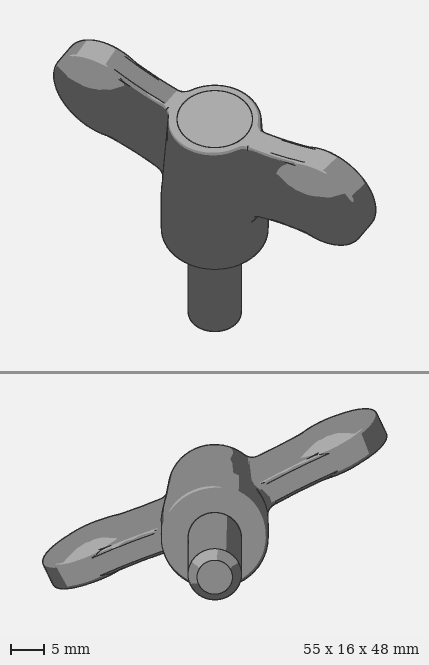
import cadquery as cq
import math

base_radius = 8.0
taper_start = 8.6
hub_top_radius = 6.95
hub_height = 25.35
edge_radius = 0.5

pad_radius = 8.0
pad_offset = 19.5
pad_height = 20.0
arm_thickness = 4.0
dome_rise = 1.5
pad_blend_radius = 2.0
root_blend_radius = 2.0
arm_top_start = 7.0
upper_tangent_angle = math.radians(19.0)
lower_arc_radius = 35.0

stud_diameter = 8.0
stud_length = 20.0
stud_chamfer_height = 1.5
stud_chamfer_width = 1.35
shank_diameter = 7.95
head_diameter = 11.25
head_thickness = 6.0
insert_clearance = 0.05

half_arm = arm_thickness / 2
pad_bottom = pad_height - pad_radius
dome_apex = half_arm + dome_rise
dome_sphere_radius = (pad_radius**2 + dome_rise**2) / (2 * dome_rise)
dome_center = dome_apex - dome_sphere_radius
taper_slope = (base_radius - hub_top_radius) / (hub_height - taper_start)

overshoot = 3.0
arm_inner_end = hub_top_radius - 2.0


def taper_radius(height):
    return base_radius - taper_slope * (height - taper_start)


def lower_edge_height(x):
    """Height of the arm's lower arc, which leaves the bottom of the pad horizontally."""
    run = pad_offset - x
    return pad_bottom - lower_arc_radius + math.sqrt(lower_arc_radius**2 - run**2)


def upper_arc_points():
    """Start, middle and end of the arm's upper arc, from the hub top to its tangent point on the pad."""
    normal_x = -math.sin(upper_tangent_angle)
    normal_z = math.cos(upper_tangent_angle)
    tangent_x = pad_offset + pad_radius * normal_x
    tangent_z = pad_height + pad_radius * normal_z

    chord_x = arm_top_start - tangent_x
    chord_z = hub_height - tangent_z
    radius = (chord_x**2 + chord_z**2) / (2 * (chord_x * normal_x + chord_z * normal_z))
    center_x = tangent_x + radius * normal_x
    center_z = tangent_z + radius * normal_z

    middle_x = (arm_top_start + tangent_x) / 2
    middle_z = center_z - math.sqrt(radius**2 - (middle_x - center_x) ** 2)
    return (arm_top_start, hub_height), (middle_x, middle_z), (tangent_x, tangent_z)


def make_rough_arm():
    """Arm on the +X side with its rounded lower edge, left too tall at the top."""
    middle_x = (pad_offset + arm_inner_end) / 2
    top = hub_height + overshoot
    arm = (
        cq.Workplane("XZ")
        .moveTo(arm_inner_end, top)
        .lineTo(pad_offset, top)
        .lineTo(pad_offset, pad_bottom)
        .threePointArc(
            (middle_x, lower_edge_height(middle_x)),
            (arm_inner_end, lower_edge_height(arm_inner_end)),
        )
        .close()
        .extrude(half_arm, both=True)
    )
    return arm.edges("%CIRCLE").fillet(edge_radius)


def make_rough_body():
    """Tapered body and both arms, blended together where they meet."""
    bottom = taper_start - overshoot
    top = hub_height + overshoot
    body = (
        cq.Workplane("YZ")
        .polyline([
            (0, bottom),
            (taper_radius(bottom), bottom),
            (taper_radius(top), top),
            (0, top),
        ])
        .close()
        .revolve(360, (0, 0, 0), (0, 1, 0))
    )
    arm = make_rough_arm()
    body = body.union(arm).union(arm.mirror("YZ"))

    def is_root(edge):
        center = edge.Center()
        near_hub = arm_inner_end < abs(center.x) < base_radius
        return near_hub and abs(center.y) < half_arm + 0.01 and bottom < center.z < top - 0.01

    roots = [edge for edge in body.edges().vals() if is_root(edge)]
    return cq.Workplane(body.val().fillet(root_blend_radius, roots))


def make_trim():
    """Block that keeps what lies below the arms' upper arcs and the hub top, and above the base."""
    start, middle, end = upper_arc_points()
    half = (
        cq.Workplane("XZ")
        .moveTo(0, taper_start)
        .lineTo(0, hub_height)
        .lineTo(*start)
        .threePointArc(middle, end)
        .lineTo(pad_offset, pad_height)
        .lineTo(pad_offset, taper_start)
        .close()
        .extrude(2 * base_radius, both=True)
    )
    return half.union(half.mirror("YZ"))


def make_body():
    body = make_rough_body().intersect(make_trim())
    _, _, tangent_point = upper_arc_points()

    def is_top_edge(edge):
        center = edge.Center()
        on_top = center.z > hub_height - 0.05 and abs(center.x) < tangent_point[0] - 0.01
        return on_top and abs(center.y) > half_arm - 0.01

    top_edges = [edge for edge in body.edges().vals() if is_top_edge(edge)]
    body = cq.Workplane(body.val().fillet(edge_radius, top_edges))
    base = cq.Workplane("XY").circle(base_radius).extrude(taper_start)
    return body.union(base.faces("<Z").edges().fillet(edge_radius))


def spin_pad_profile(profile):
    solid = profile.close().revolve(360, (0, 0, 0), (0, 1, 0))
    return solid.translate((pad_offset, 0, pad_height))


def dome_height(radius):
    return dome_center + math.sqrt(dome_sphere_radius**2 - radius**2)


def make_pad():
    """Round pad on the +X side, domed on both faces, with a rounded rim."""
    middle = pad_radius / 2
    pad = spin_pad_profile(
        cq.Workplane("XY")
        .moveTo(0, -dome_apex)
        .threePointArc((middle, -dome_height(middle)), (pad_radius, -half_arm))
        .lineTo(pad_radius, half_arm)
        .threePointArc((middle, dome_height(middle)), (0, dome_apex))
    )
    return pad.faces("%CYLINDER").edges("%CIRCLE").fillet(edge_radius)


def make_pad_blend():
    """Concave blend between the domes and the flat faces of the arm."""
    blend_y = half_arm + pad_blend_radius
    reach = dome_sphere_radius + pad_blend_radius
    outer = math.sqrt(reach**2 - (blend_y - dome_center) ** 2)
    inner = outer * dome_sphere_radius / reach
    middle = (outer + inner) / 2
    middle_y = blend_y - math.sqrt(pad_blend_radius**2 - (outer - middle) ** 2)
    ring = spin_pad_profile(
        cq.Workplane("XY")
        .moveTo(0, -dome_height(inner))
        .lineTo(inner, -dome_height(inner))
        .threePointArc((middle, -middle_y), (outer, -half_arm))
        .lineTo(outer, half_arm)
        .threePointArc((middle, middle_y), (inner, dome_height(inner)))
        .lineTo(0, dome_height(inner))
    )

    start, arc_middle, end = upper_arc_points()
    lower_middle_x = (pad_offset + arm_top_start) / 2
    arm_face = (
        cq.Workplane("XZ")
        .moveTo(*start)
        .threePointArc(arc_middle, end)
        .lineTo(pad_offset, pad_height)
        .lineTo(pad_offset, pad_bottom)
        .threePointArc(
            (lower_middle_x, lower_edge_height(lower_middle_x)),
            (arm_top_start, lower_edge_height(arm_top_start)),
        )
        .close()
        .offset2D(-edge_radius)
        .extrude(dome_apex, both=True)
    )
    return ring.intersect(arm_face)


def make_headed_shank(clearance):
    """Shank and head inside the hub, grown in diameter by the clearance."""
    shank = cq.Workplane("XY").circle((shank_diameter + clearance) / 2).extrude(hub_height)
    head = (
        cq.Workplane("XY", origin=(0, 0, hub_height - head_thickness))
        .circle((head_diameter + clearance) / 2)
        .extrude(head_thickness)
    )
    return shank.union(head)


def make_insert():
    """Headed shank in the hub, continued below it as a stud with a chamfered tip."""
    stud = (
        cq.Workplane("XY")
        .circle(stud_diameter / 2)
        .extrude(-stud_length)
        .faces("<Z")
        .chamfer(stud_chamfer_height, stud_chamfer_width)
    )
    return make_headed_shank(0).union(stud)


def make_handle():
    handle = make_body()
    for feature in (make_pad(), make_pad_blend()):
        handle = handle.union(feature).union(feature.mirror("YZ"))
    return handle.cut(make_headed_shank(insert_clearance))


handle = make_handle()
insert = make_insert()

result = cq.Compound.makeCompound([handle.val(), insert.val()])